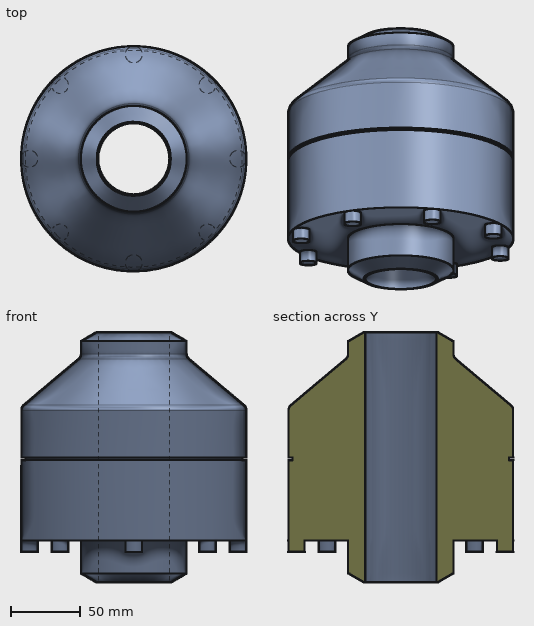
import cadquery as cq
import math

height = 180.0
body_radius = 162.0 / 2
base_z = 30.0
shoulder_z = 126.0

pipe_radius = 76.1 / 2
bore_radius = 51.1 / 2
end_land = 1.0
bevel_angle = math.radians(30)

cone_angle = math.radians(40)
blend_radius = 4.9

groove_radius = 156.0 / 2
groove_bottom_z = 88.0
groove_width = 1.8

pin_count = 8
pin_radius = 12.0 / 2
pin_length = 8.1
pin_circle_radius = body_radius - pin_radius

land_radius = bore_radius + end_land
bevel_height = (pipe_radius - land_radius) * math.tan(bevel_angle)
groove_top_z = groove_bottom_z + groove_width
cone_top_z = shoulder_z + (body_radius - pipe_radius) * math.tan(cone_angle)

blend_turn = math.pi / 2 - cone_angle
blend_setback = blend_radius * math.tan(blend_turn / 2)


def along_cone(radius, z, distance):
    """Move a profile point up the cone slope; a negative distance moves it down."""
    return (radius - distance * math.cos(cone_angle), z + distance * math.sin(cone_angle))


def make_body():
    """Revolve the half profile (radius, z) around the Z axis."""
    arc_rise = blend_radius * math.sin(blend_turn / 2)
    arc_inset = blend_radius * (1 - math.cos(blend_turn / 2))
    shoulder_start = (body_radius, shoulder_z - blend_setback)
    shoulder_mid = (body_radius - arc_inset, shoulder_start[1] + arc_rise)
    shoulder_end = along_cone(body_radius, shoulder_z, blend_setback)
    neck_start = along_cone(pipe_radius, cone_top_z, -blend_setback)
    neck_end = (pipe_radius, cone_top_z + blend_setback)
    neck_mid = (pipe_radius + arc_inset, neck_end[1] - arc_rise)

    profile = (
        cq.Workplane("XZ")
        .moveTo(bore_radius, 0)
        .lineTo(land_radius, 0)
        .lineTo(pipe_radius, bevel_height)
        .lineTo(pipe_radius, base_z)
        .lineTo(body_radius, base_z)
        .lineTo(body_radius, groove_bottom_z)
        .lineTo(groove_radius, groove_bottom_z)
        .lineTo(groove_radius, groove_top_z)
        .lineTo(body_radius, groove_top_z)
        .lineTo(*shoulder_start)
        .threePointArc(shoulder_mid, shoulder_end)
        .lineTo(*neck_start)
        .threePointArc(neck_mid, neck_end)
        .lineTo(pipe_radius, height - bevel_height)
        .lineTo(land_radius, height)
        .lineTo(bore_radius, height)
        .close()
    )
    return profile.revolve(360, (0, 0, 0), (0, 1, 0))


def make_pins():
    """Evenly spaced round pins standing down from the base face."""
    return (
        cq.Workplane("XY")
        .workplane(offset=base_z)
        .polarArray(pin_circle_radius, 0, 360, pin_count)
        .circle(pin_radius)
        .extrude(-pin_length)
    )


result = make_body().union(make_pins())